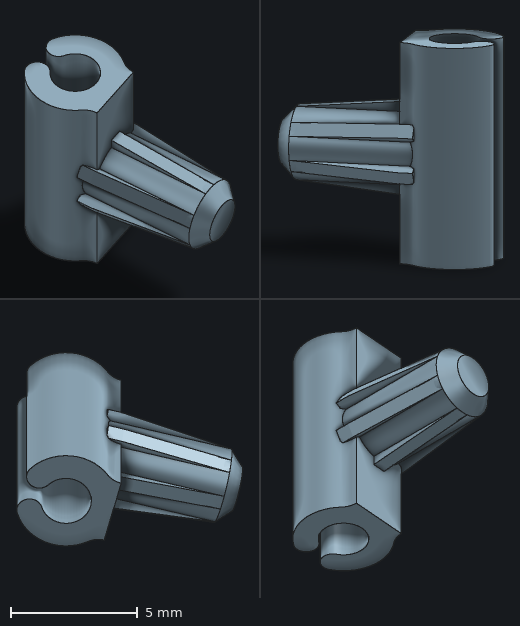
import cadquery as cq
import math

clip_height = 8.89
bore_radius = 1.0
clip_radius = 2.005
mouth_gap = 0.53
mount_face_x = 1.9
mount_face_width = 2.61

plug_radius = 1.5
plug_root_x = 1.26
plug_tip_x = 6.96
tip_chamfer = 0.6
rib_count = 6
rib_width = 0.59
rib_root_height = 1.89

shoulder_x = plug_tip_x - tip_chamfer
rib_end_height = math.sqrt(plug_radius**2 - (rib_width / 2) ** 2)


def polar(radius, angle):
    return radius * math.cos(angle), radius * math.sin(angle)


def make_clip():
    lip_radius = (clip_radius - bore_radius) / 2
    lip_center_radius = (clip_radius + bore_radius) / 2
    lip_y = mouth_gap / 2 + lip_radius
    lip_angle = math.pi - math.asin(lip_y / lip_center_radius)
    lip_x = lip_center_radius * math.cos(lip_angle)
    lip_end = (lip_radius * math.sin(lip_angle), -lip_radius * math.cos(lip_angle))

    half_face = mount_face_width / 2
    flare_radius = (mount_face_x**2 + half_face**2 - clip_radius**2) / (2 * (clip_radius - half_face))
    flare_center_y = half_face + flare_radius
    flare_angle = math.atan2(flare_center_y, mount_face_x)
    flare_mid_angle = (flare_angle - math.pi / 2) / 2
    flare_mid = (
        mount_face_x + flare_radius * math.sin(flare_mid_angle),
        flare_center_y - flare_radius * math.cos(flare_mid_angle),
    )

    wall_start = polar(clip_radius, flare_angle)
    wall_mid = polar(clip_radius, (flare_angle + lip_angle) / 2)
    wall_end = polar(clip_radius, lip_angle)
    lip_tip = (lip_x - lip_end[0], lip_y - lip_end[1])
    bore_edge = polar(bore_radius, lip_angle)

    def mirrored(point):
        return point[0], -point[1]

    return (
        cq.Workplane("XY")
        .workplane(offset=-clip_height / 2)
        .moveTo(mount_face_x, -half_face)
        .lineTo(mount_face_x, half_face)
        .threePointArc(flare_mid, wall_start)
        .threePointArc(wall_mid, wall_end)
        .threePointArc(lip_tip, bore_edge)
        .threePointArc((bore_radius, 0), mirrored(bore_edge))
        .threePointArc(mirrored(lip_tip), mirrored(wall_end))
        .threePointArc(mirrored(wall_mid), mirrored(wall_start))
        .threePointArc(mirrored(flare_mid), (mount_face_x, -half_face))
        .close()
        .extrude(clip_height)
    )


def make_plug():
    return (
        cq.Workplane("YZ", origin=(plug_root_x, 0, 0))
        .circle(plug_radius)
        .extrude(plug_tip_x - plug_root_x)
        .faces(">X")
        .chamfer(tip_chamfer)
    )


def make_rib(angle):
    return (
        cq.Workplane("XZ")
        .polyline([
            (plug_root_x, 0),
            (plug_root_x, rib_root_height),
            (mount_face_x, rib_root_height),
            (shoulder_x, rib_end_height),
            (shoulder_x, 0),
        ])
        .close()
        .extrude(rib_width / 2, both=True)
        .rotate((0, 0, 0), (1, 0, 0), angle)
    )


result = make_clip().union(make_plug())
for index in range(rib_count):
    result = result.union(make_rib(index * 360 / rib_count))